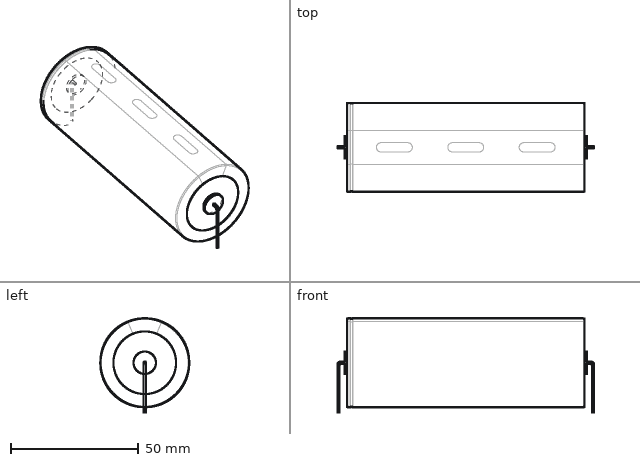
import cadquery as cq
import math

overall_length = 100.9
body_length = 93.3
body_radius = 17.51
edge_fillet = 0.4

groove_offset = 1.8
groove_half_width = 0.5
groove_depth = 0.2
groove_lip_radius = 0.3

recess_radius = 12.3
recess_depth = 0.1
boss_diameter = 8.8
boss_height = 0.9

lead_diameter = 0.9
bend_radius = 0.9
lead_bottom_z = -19.52

stripe_half_angle = math.radians(22.4)
mark_length = 14.1
mark_width = 3.6
mark_pitch = 28.0
mark_count = 3

half_body = body_length / 2
recess_floor_x = half_body - recess_depth


def x_cylinder(radius, start_x, end_x):
    return cq.Workplane("YZ", origin=(start_x, 0, 0)).circle(radius).extrude(end_x - start_x)


def make_can():
    can = x_cylinder(body_radius, -half_body, half_body).faces("<X or >X").edges().fillet(edge_fillet)
    groove_x = groove_offset - half_body
    groove = (
        cq.Workplane("XY")
        .moveTo(groove_x - groove_half_width, body_radius)
        .threePointArc((groove_x, body_radius - groove_depth), (groove_x + groove_half_width, body_radius))
        .close()
        .revolve(360, (0, 0, 0), (1, 0, 0))
    )
    can = can.cut(groove)
    lip_edges = cq.selectors.BoxSelector(
        (groove_x - 2 * groove_half_width, -body_radius, -body_radius),
        (groove_x + 2 * groove_half_width, body_radius, body_radius),
    )
    outermost = cq.selectors.RadiusNthSelector(-1)
    can = can.edges(lip_edges).edges("%CIRCLE").edges(outermost).fillet(groove_lip_radius)
    can = can.cut(x_cylinder(recess_radius, -half_body, -recess_floor_x))
    return can.cut(x_cylinder(recess_radius, recess_floor_x, half_body))


def make_stripe_region():
    """Wedge outside the recess radius that bounds the polarity stripe."""
    wedge_height = 2 * body_radius
    wedge_half_width = wedge_height * math.tan(stripe_half_angle)
    wedge = (
        cq.Workplane("YZ", origin=(-half_body, 0, 0))
        .polyline([(0, 0), (wedge_half_width, wedge_height), (-wedge_half_width, wedge_height)])
        .close()
        .extrude(body_length)
    )
    return wedge.cut(x_cylinder(recess_radius, -half_body, half_body))


def make_mark_region():
    """Upright slot prisms that bound the minus marks in the stripe."""
    positions = [((i - (mark_count - 1) / 2) * mark_pitch, 0) for i in range(mark_count)]
    return (
        cq.Workplane("XY", origin=(0, 0, recess_radius))
        .pushPoints(positions)
        .slot2D(mark_length, mark_width)
        .extrude(body_radius)
    )


def rejoin_with_seams(body, region):
    """Split the body by a region and fuse it again, keeping the flush boundary lines."""
    inside = body.intersect(region, clean=False)
    outside = body.cut(region, clean=False)
    return outside.union(inside, clean=False)


def make_lead():
    """Boss and bent wire at the -X end."""
    wire_x = (lead_diameter - overall_length) / 2
    bend_offset = bend_radius * (1 - math.sqrt(0.5))
    path = (
        cq.Workplane("XZ")
        .moveTo(-recess_floor_x, 0)
        .lineTo(wire_x + bend_radius, 0)
        .threePointArc((wire_x + bend_offset, -bend_offset), (wire_x, -bend_radius))
        .lineTo(wire_x, lead_bottom_z)
    )
    wire = cq.Workplane("YZ", origin=(-recess_floor_x, 0, 0)).circle(lead_diameter / 2).sweep(path)
    boss = x_cylinder(boss_diameter / 2, -half_body - boss_height, -recess_floor_x)
    return boss.union(wire)


left_lead = make_lead()
right_lead = left_lead.mirror("YZ")

result = rejoin_with_seams(make_can(), make_stripe_region())
result = rejoin_with_seams(result, make_mark_region())
result = result.union(left_lead, clean=False).union(right_lead, clean=False)